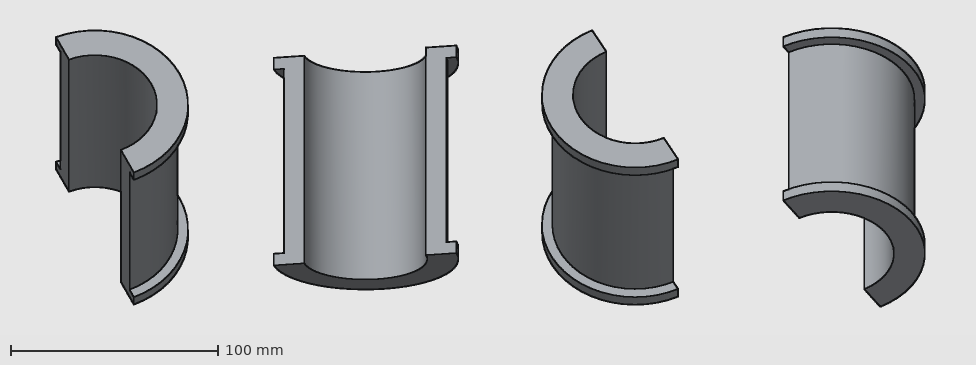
import cadquery as cq

bore_diameter = 60.0
body_diameter = 80.0
flange_diameter = 90.0
flange_thickness = 6.0
total_height = 106.0

bore_radius = bore_diameter / 2
body_radius = body_diameter / 2
flange_radius = flange_diameter / 2
half_turn = 180


def wall_section():
    """Wall profile on the +X side of the split face: tube wall and both flanges."""
    upper_flange_bottom = total_height - flange_thickness
    return (
        cq.Workplane("XZ")
        .moveTo(bore_radius, 0)
        .lineTo(flange_radius, 0)
        .lineTo(flange_radius, flange_thickness)
        .lineTo(body_radius, flange_thickness)
        .lineTo(body_radius, upper_flange_bottom)
        .lineTo(flange_radius, upper_flange_bottom)
        .lineTo(flange_radius, total_height)
        .lineTo(bore_radius, total_height)
        .close()
    )


def half_shell():
    """Sweep the wall profile half a turn about Z, through +Y."""
    axis_start = (0, 0)
    axis_end = (0, 1)
    return wall_section().revolve(half_turn, axis_start, axis_end)


result = half_shell()